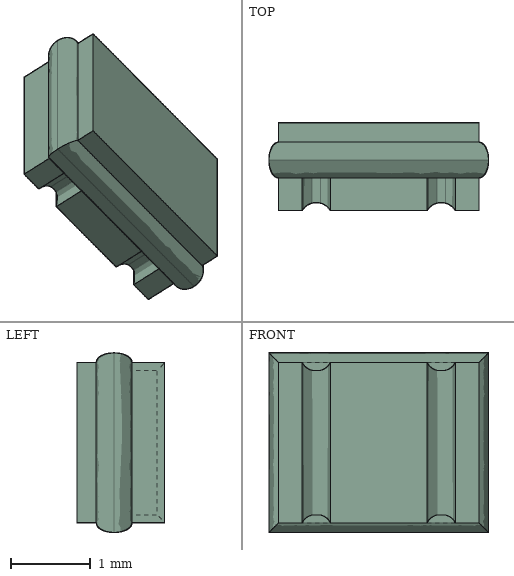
import cadquery as cq

length = 2.75
depth = 1.1
height = 2.25

bead_rise = 0.12
bead_width = 0.448
bead_center_y = 0.082

block_length = length - 2 * bead_rise
block_height = height - 2 * bead_rise
front_y = -depth / 2
bead_front_y = bead_center_y - bead_width / 2

groove_spacing = 1.562
groove_width = 0.352
groove_depth = 0.1
notch_floor_width = 0.105
notch_side_radius = 0.18


def bead_side(run, reach):
    """Straight bead along X with mitred ends, its crest at Z = reach."""
    base = reach - bead_rise
    half_bar = (
        cq.Workplane("YZ", origin=(-run / 2, bead_center_y, base))
        .lineTo(bead_width / 2, 0)
        .ellipseArc(bead_width / 2, bead_rise, 0, 90, startAtCurrent=True)
        .close()
        .extrude(run)
    )
    bar = half_bar.union(half_bar.mirror("XZ", (0, bead_center_y, 0)))
    mitre = (
        cq.Workplane("XZ")
        .polyline([
            (-run / 2, reach),
            (run / 2, reach),
            (run / 2 - bead_rise, base),
            (bead_rise - run / 2, base),
        ])
        .close()
        .extrude(depth, both=True)
    )
    return bar.intersect(mitre)


def make_bead():
    """Four mitred sides around the core of the block."""
    top = bead_side(length, height / 2)
    side = bead_side(height, length / 2).rotate((0, 0, 0), (0, 1, 0), 90)
    bead = top.union(top.mirror("XY"))
    return bead.union(side).union(side.mirror("YZ"))


def groove(x):
    """Round-bottomed groove along the full height of the front face."""
    return (
        cq.Workplane("XY", origin=(x, front_y, -block_height / 2))
        .moveTo(-groove_width / 2, 0)
        .threePointArc((0, groove_depth), (groove_width / 2, 0))
        .close()
        .extrude(block_height)
    )


def notch(x):
    """Flat-floored notch in the top face, from the front face to the bead."""
    half_floor = notch_floor_width / 2
    return (
        cq.Workplane("XZ", origin=(x, bead_front_y, block_height / 2))
        .moveTo(-groove_width / 2, 0)
        .radiusArc((-half_floor, -groove_depth), -notch_side_radius)
        .lineTo(half_floor, -groove_depth)
        .radiusArc((groove_width / 2, 0), -notch_side_radius)
        .close()
        .extrude(bead_front_y - front_y)
    )


result = cq.Workplane("XY").box(block_length, depth, block_height).union(make_bead())
for x in (-groove_spacing / 2, groove_spacing / 2):
    top_notch = notch(x)
    result = result.cut(groove(x)).cut(top_notch).cut(top_notch.mirror("XY"))